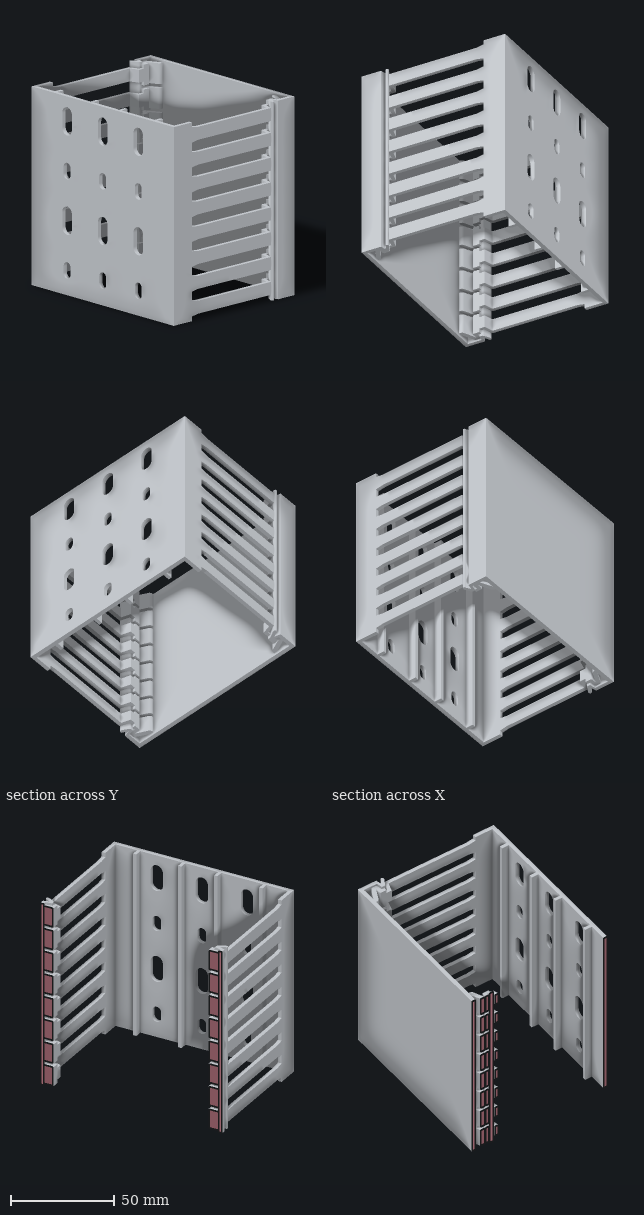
import cadquery as cq


LID_WIDTH = 101.0
DUCT_WIDTH = 100.0
TOTAL_DEPTH = 80.0
LENGTH = 100.0

SIDE_WALL = 2.0
BASE_WALL = 2.2
LID_WALL = 2.2

FINGER_COUNT = 8
FINGER_PITCH = LENGTH / FINGER_COUNT
SLOT_HEIGHT = 6.0
SLOT_ROOT_HEIGHT = 4.6
SLOT_FLOOR = 12.2
TAPER_TOP = 16.2
CLIP_GAP = 2.0
CLIP_START_DROP = 11.7
CLIP_BEND_DROP = 8.0

RIB_OFFSETS = (10.0, 35.0)
RIB_WIDTH = 1.8
RIB_HEIGHT = 3.9

HOLE_COLUMN_PITCH = 25.0
LARGE_SLOT = (14.1, 6.8)
LARGE_SLOT_ROWS = (3, 7)
SMALL_SLOT = (8.3, 4.8)
SMALL_SLOT_ROWS = (1, 5)

SIDE_GAP = (LID_WIDTH - DUCT_WIDTH) / 2
WALL_INSET = SIDE_GAP + SIDE_WALL
CUTTER_WIDTH = 15.2


def section_point(inset, drop):
    """Place a section point of the -X side."""
    return (inset - LID_WIDTH / 2, TOTAL_DEPTH - drop)


def section(points):
    """Extrude a closed polygon of section points over the full length."""
    placed = [section_point(*point) for point in points]
    return cq.Workplane("XY").polyline(placed).close().extrude(LENGTH)


def both_sides(side):
    return side.union(side.mirror("YZ"))


def z_band(height, center_z, low_y, high_y):
    """Box across the -X side, covering a stretch of Z and of Y."""
    return (
        cq.Workplane("XY")
        .box(CUTTER_WIDTH, high_y - low_y, height, centered=(False, False, True))
        .translate((-LID_WIDTH / 2, low_y, center_z))
    )


def make_lid():
    top = (
        cq.Workplane("XY")
        .box(LID_WIDTH, LID_WALL, LENGTH, centered=(True, False, False))
        .translate((0, TOTAL_DEPTH - LID_WALL, 0))
    )
    side = (
        cq.Workplane("XY")
        .moveTo(*section_point(0, 0))
        .lineTo(*section_point(0, 10.8))
        .lineTo(*section_point(3.2, 11.6))
        .lineTo(*section_point(0.8, 13.1))
        .threePointArc(section_point(0, 13.9), section_point(0.8, 14.6))
        .lineTo(*section_point(1.4, 14.6))
        .lineTo(*section_point(4.6, 12.8))
        .threePointArc(section_point(5.0, 12.4), section_point(5.3, 11.8))
        .lineTo(*section_point(5.3, 10.6))
        .lineTo(*section_point(SIDE_WALL, 9.9))
        .lineTo(*section_point(SIDE_WALL, 0))
        .close()
        .extrude(LENGTH)
    )
    return top.union(both_sides(side))


def make_side_wall():
    wall_and_step = section([
        (SIDE_GAP, TOTAL_DEPTH),
        (SIDE_GAP, 15.2),
        (5.7, 13.4),
        (5.7, 10.0),
        (3.6, 10.0),
        (SIDE_WALL, 9.4),
        (SIDE_WALL, CLIP_BEND_DROP),
        (6.8, CLIP_BEND_DROP),
        (7.5, 8.4),
        (7.5, 14.8),
        (WALL_INSET, 16.4),
        (WALL_INSET, TOTAL_DEPTH),
    ])
    arm = (
        cq.Workplane("XY")
        .moveTo(*section_point(SIDE_WALL, CLIP_BEND_DROP))
        .lineTo(*section_point(SIDE_WALL, 7.0))
        .threePointArc(section_point(2.3, 6.4), section_point(3.0, 6.0))
        .lineTo(*section_point(9.6, 2.7))
        .lineTo(*section_point(11.3, 2.7))
        .threePointArc(section_point(11.2, 4.0), section_point(10.6, 4.8))
        .lineTo(*section_point(3.9, CLIP_BEND_DROP))
        .close()
        .extrude(LENGTH)
    )
    return wall_and_step.union(arm)


def finger_slot(center_z):
    """Slot between two fingers: tapered root, straight middle, narrow gap between clips."""
    half_root = SLOT_ROOT_HEIGHT / 2
    half_slot = SLOT_HEIGHT / 2
    clip_start = TOTAL_DEPTH - CLIP_START_DROP
    taper = (
        cq.Workplane("YZ", origin=(-LID_WIDTH / 2, 0, 0))
        .polyline([
            (SLOT_FLOOR, center_z - half_root),
            (TAPER_TOP, center_z - half_slot),
            (TAPER_TOP, center_z + half_slot),
            (SLOT_FLOOR, center_z + half_root),
        ])
        .close()
        .extrude(CUTTER_WIDTH)
    )
    straight = z_band(SLOT_HEIGHT, center_z, TAPER_TOP, clip_start)
    narrow = z_band(CLIP_GAP, center_z, clip_start, TOTAL_DEPTH)
    return taper.union(straight).union(narrow)


def make_slotted_side():
    side = make_side_wall()
    for index in range(FINGER_COUNT + 1):
        side = side.cut(finger_slot(index * FINGER_PITCH))
    return side


def base_slots(size, rows):
    length, width = size
    points = [
        (column * HOLE_COLUMN_PITCH, row * FINGER_PITCH)
        for column in (-1, 0, 1)
        for row in rows
    ]
    return (
        cq.Workplane("XZ")
        .pushPoints(points)
        .slot2D(length, width, 90)
        .extrude(-BASE_WALL)
    )


def make_base():
    base = cq.Workplane("XY").box(DUCT_WIDTH, BASE_WALL, LENGTH, centered=(True, False, False))
    for offset in RIB_OFFSETS:
        for side in (-1, 1):
            rib = (
                cq.Workplane("XY")
                .box(RIB_WIDTH, RIB_HEIGHT, LENGTH, centered=(True, False, False))
                .translate((side * offset, BASE_WALL, 0))
            )
            base = base.union(rib)
    base = base.cut(base_slots(LARGE_SLOT, LARGE_SLOT_ROWS))
    return base.cut(base_slots(SMALL_SLOT, SMALL_SLOT_ROWS))


def make_duct():
    return make_base().union(both_sides(make_slotted_side()))


lid = make_lid()
duct = make_duct()
result = cq.Compound.makeCompound([lid.solids().val(), duct.solids().val()])